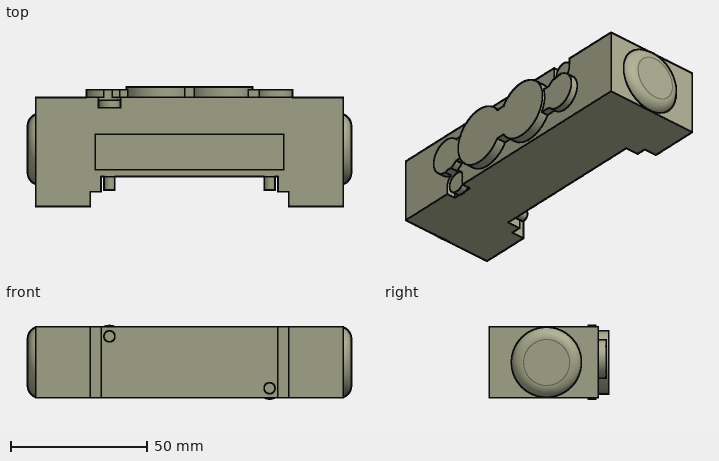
import cadquery as cq
import math

BODY_LENGTH = 113.0
BODY_DEPTH = 40.1
BODY_HEIGHT = 26.2
RECESS_HALF_WIDTH = 36.4
RECESS_INNER_HALF_WIDTH = 32.5
RECESS_STEP_DEPTH = 5.5
RECESS_DEPTH = 11.1

OVERALL_LENGTH = 119.0
CAP_FLAT_RADIUS = 8.5
CAP_ROUND_RADIUS = 4.8
CAP_FROM_BACK = 19.0

SCREW_X = 29.4
SCREW_FROM_EDGE = 3.6
SHANK_DIAMETER = 4.0
SHANK_PROTRUSION = 5.0
HEAD_DIAMETER = 8.0
HEAD_LENGTH = 2.7
SLOT_WIDTH = 8.3
SLOT_DEPTH = 3.7

LARGE_PAD_DIAMETER = 23.3
LARGE_PAD_X = 11.5
LARGE_PAD_HEIGHT = 3.9
SMALL_PAD_DIAMETER = 14.2
SMALL_PAD_X = 30.8
SMALL_PAD_OFFSET_Z = 1.2
SMALL_PAD_HEIGHT = 2.9
LARGE_WEB_WIDTH = 12.6
SMALL_WEB_WIDTH = 9.5

LABEL_LENGTH = 69.3
LABEL_WIDTH = 13.0
LABEL_FROM_BACK = 13.6
LABEL_RECESS = 0.06

SIDES = (-1, 1)
FRONT_Y = -BODY_DEPTH
RECESS_Y = FRONT_Y + RECESS_DEPTH
SCREW_Z = BODY_HEIGHT / 2 - SCREW_FROM_EDGE


def box_between(x0, x1, y0, y1, z0, z1):
    """Box spanning the given coordinate ranges."""
    return cq.Workplane("XY").box(x1 - x0, y1 - y0, z1 - z0, centered=False).translate((x0, y0, z0))


def rod(diameter, x, z, y0, y1):
    """Cylinder parallel to Y from y0 to y1."""
    circle = cq.Workplane("XZ", origin=(x, y0, z)).circle(diameter / 2)
    return circle.extrude(y0 - y1)


def make_body():
    """Block with a stepped recess across its front, running through in Z."""
    half_height = BODY_HEIGHT / 2
    half_length = BODY_LENGTH / 2
    body = box_between(-half_length, half_length, FRONT_Y, 0, -half_height, half_height)
    for half_width, depth in (
        (RECESS_HALF_WIDTH, RECESS_STEP_DEPTH),
        (RECESS_INNER_HALF_WIDTH, RECESS_DEPTH),
    ):
        body = body.cut(
            box_between(-half_width, half_width, FRONT_Y, FRONT_Y + depth, -half_height, half_height)
        )
    return body


def make_cap(side):
    """End cap whose rounded rim runs tangentially into its flat face."""
    base_x = BODY_LENGTH / 2
    face_x = OVERALL_LENGTH / 2
    arc_x = face_x - CAP_ROUND_RADIUS
    end_angle = math.acos((base_x - arc_x) / CAP_ROUND_RADIUS)
    mid_angle = end_angle / 2

    def rim_point(angle):
        x = arc_x + CAP_ROUND_RADIUS * math.cos(angle)
        return (side * x, CAP_FLAT_RADIUS + CAP_ROUND_RADIUS * math.sin(angle))

    profile = (
        cq.Workplane("XY")
        .moveTo(side * base_x, 0)
        .lineTo(side * face_x, 0)
        .lineTo(side * face_x, CAP_FLAT_RADIUS)
        .threePointArc(rim_point(mid_angle), rim_point(end_angle))
        .close()
    )
    return profile.revolve(360, (0, 0, 0), (1, 0, 0)).translate((0, -CAP_FROM_BACK, 0))


def make_pads():
    """Two large and two small round pads, joined in a row by straight webs."""
    half_web = LARGE_WEB_WIDTH / 2
    pads = box_between(-LARGE_PAD_X, LARGE_PAD_X, 0, LARGE_PAD_HEIGHT, -half_web, half_web)
    half_web = SMALL_WEB_WIDTH / 2
    for side in SIDES:
        pads = pads.union(rod(LARGE_PAD_DIAMETER, side * LARGE_PAD_X, 0, 0, LARGE_PAD_HEIGHT))
        small_x = side * SMALL_PAD_X
        small_z = side * SMALL_PAD_OFFSET_Z
        pads = pads.union(rod(SMALL_PAD_DIAMETER, small_x, small_z, 0, SMALL_PAD_HEIGHT))
        web_start, web_end = sorted((side * LARGE_PAD_X, small_x))
        pads = pads.union(
            box_between(web_start, web_end, 0, SMALL_PAD_HEIGHT, small_z - half_web, small_z + half_web)
        )
    return pads


def make_screw_slot(side):
    """Round-bottomed slot for a screw head, open to the back and the nearer Z face."""
    x = side * SCREW_X
    z = -side * SCREW_Z
    z_low, z_high = sorted((z, -side * BODY_HEIGHT / 2))
    slot = box_between(x - SLOT_WIDTH / 2, x + SLOT_WIDTH / 2, -SLOT_DEPTH, LARGE_PAD_HEIGHT, z_low, z_high)
    return slot.union(rod(SLOT_WIDTH, x, z, -SLOT_DEPTH, LARGE_PAD_HEIGHT))


def make_screw(side):
    """Screw head seated in its slot, with the shank end standing out of the front recess."""
    x = side * SCREW_X
    z = -side * SCREW_Z
    head = rod(HEAD_DIAMETER, x, z, -SLOT_DEPTH, HEAD_LENGTH - SLOT_DEPTH)
    shank = rod(SHANK_DIAMETER, x, z, RECESS_Y - SHANK_PROTRUSION, -SLOT_DEPTH)
    return head.union(shank)


def make_label():
    """Shallow rectangular panel cut into the top face."""
    top_z = BODY_HEIGHT / 2
    back_y = -LABEL_FROM_BACK
    half_length = LABEL_LENGTH / 2
    return box_between(
        -half_length, half_length, back_y - LABEL_WIDTH, back_y, top_z - LABEL_RECESS, top_z
    )


result = make_body().union(make_pads()).cut(make_label())
for end in SIDES:
    result = result.union(make_cap(end))
    result = result.cut(make_screw_slot(end))
    result = result.union(make_screw(end))